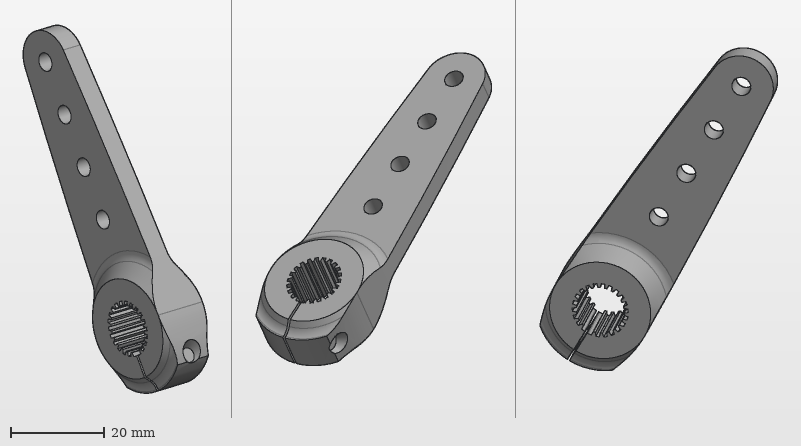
import cadquery as cq
import math


hub_width = 13.0
hub_face_radius = 11.0
cone_angle = 45.0
web_fillet = 3.0

arm_thickness = 5.0
arm_length = 60.0
tip_radius = 7.0
flank_mid_half_width = 9.4
flank_tip_angle = 6.5
link_hole_count = 4
link_hole_pitch = arm_length / 5
link_hole_diameter = 4.1

clamp_thickness = 9.05
clamp_reach = 14.6
clamp_end_radius = 14.1
clamp_corner_half_width = 9.1
clamp_side_point = (-6.0, 10.5)
slit_width = 0.5

screw_offset = 9.85
screw_radius = 1.6
screw_length = 16.3
countersink_height = 2.95
countersink_half_angle = 30.0

spline_count = 22
spline_tip_radius = 5.2
spline_root_radius = 6.1
groove_mouth_share = 0.68
groove_floor_share = 0.42

arm_tilt = 120.0


def hub_with_web(web_thickness, web_radius):
    """Round body: flat hub faces, cone and a fillet running out into a flat web."""
    half_hub = hub_width / 2
    half_web = web_thickness / 2
    cone_base = hub_face_radius + (half_hub - half_web) / math.tan(math.radians(cone_angle))
    half_cone_angle = math.radians(cone_angle / 2)
    setback = web_fillet * math.tan(half_cone_angle)
    fillet_start = (
        cone_base - setback * math.cos(math.radians(cone_angle)),
        half_web + setback * math.sin(math.radians(cone_angle)),
    )
    fillet_middle = (
        cone_base + setback - web_fillet * math.sin(half_cone_angle),
        half_web + web_fillet * (1 - math.cos(half_cone_angle)),
    )
    fillet_end = (cone_base + setback, half_web)
    half_body = (
        cq.Workplane("XZ")
        .lineTo(0, half_hub)
        .lineTo(hub_face_radius, half_hub)
        .lineTo(*fillet_start)
        .threePointArc(fillet_middle, fillet_end)
        .lineTo(web_radius, half_web)
        .lineTo(web_radius, 0)
        .close()
        .revolve(360, (0, 0, 0), (0, 1, 0))
    )
    return half_body.union(half_body.mirror("XY"))


def make_arm():
    """Arm half of the lever, from the hub axis to the round tip."""
    angle = math.radians(flank_tip_angle)
    tip_x = arm_length + tip_radius * math.sin(angle)
    tip_y = tip_radius * math.cos(angle)
    outline = (
        cq.Workplane("XY")
        .moveTo(0, -hub_face_radius)
        .threePointArc((arm_length / 2, -flank_mid_half_width), (tip_x, -tip_y))
        .threePointArc((arm_length + tip_radius, 0), (tip_x, tip_y))
        .threePointArc((arm_length / 2, flank_mid_half_width), (0, hub_face_radius))
        .close()
        .extrude(hub_width / 2, both=True)
    )
    return outline.intersect(hub_with_web(arm_thickness, arm_length + 2 * tip_radius))


def make_clamp():
    """Clamp half of the lever, bulging sides closed by a round end."""
    side_x, side_y = clamp_side_point
    corner_y = clamp_corner_half_width
    end_centre_x = clamp_end_radius - clamp_reach
    corner_x = end_centre_x - math.sqrt(clamp_end_radius**2 - corner_y**2)
    outline = (
        cq.Workplane("XY")
        .moveTo(0, hub_face_radius)
        .threePointArc((side_x, side_y), (corner_x, corner_y))
        .threePointArc((-clamp_reach, 0), (corner_x, -corner_y))
        .threePointArc((side_x, -side_y), (0, -hub_face_radius))
        .close()
        .extrude(hub_width / 2, both=True)
    )
    return outline.intersect(hub_with_web(clamp_thickness, 2 * clamp_reach))


def link_holes():
    centres = [(arm_length - i * link_hole_pitch, 0) for i in range(link_hole_count)]
    return cq.Workplane("XY").pushPoints(centres).circle(link_hole_diameter / 2).extrude(hub_width, both=True)


def spline_bore():
    """Toothed bore; the tooth that would sit on the slit is left out."""
    pitch = 2 * math.pi / spline_count
    mouth = groove_mouth_share * pitch / 2
    floor = groove_floor_share * pitch / 2
    points = []
    for i in range(spline_count):
        groove = math.pi + (i + 0.5) * pitch
        for radius, offset in (
            (spline_tip_radius, -mouth),
            (spline_root_radius, -floor),
            (spline_root_radius, floor),
            (spline_tip_radius, mouth),
        ):
            points.append((radius * math.cos(groove + offset), radius * math.sin(groove + offset)))
    open_at_slit = points[1:-1]
    return cq.Workplane("XY").polyline(open_at_slit).close().extrude(hub_width, both=True)


def clamp_slit():
    """Slit from the bore to the clamp end, bridged only by the clamp screw."""
    slit = cq.Workplane("XY").box(2 * clamp_reach, slit_width, 2 * hub_width).translate((-clamp_reach, 0, 0))
    screw = (
        cq.Workplane("XZ", origin=(-screw_offset, 0, 0))
        .circle(screw_radius)
        .extrude(screw_length / 2, both=True)
    )
    return slit.cut(screw)


def screw_countersink():
    """Conical countersink whose floor is the flat end of the clamp screw."""
    flare = countersink_height * math.tan(math.radians(countersink_half_angle))
    cone = cq.Solid.makeCone(
        screw_radius,
        screw_radius + flare,
        countersink_height,
        cq.Vector(-screw_offset, screw_length / 2, 0),
        cq.Vector(0, 1, 0),
    )
    return cq.Workplane(cone)


countersink = screw_countersink()
lever = (
    make_arm()
    .union(make_clamp())
    .cut(link_holes())
    .cut(spline_bore())
    .cut(clamp_slit())
    .cut(countersink)
    .cut(countersink.mirror("XZ"))
)
result = lever.rotate((0, 0, 0), (0, 0, 1), arm_tilt).rotate((0, 0, 0), (1, 0, 0), 90)